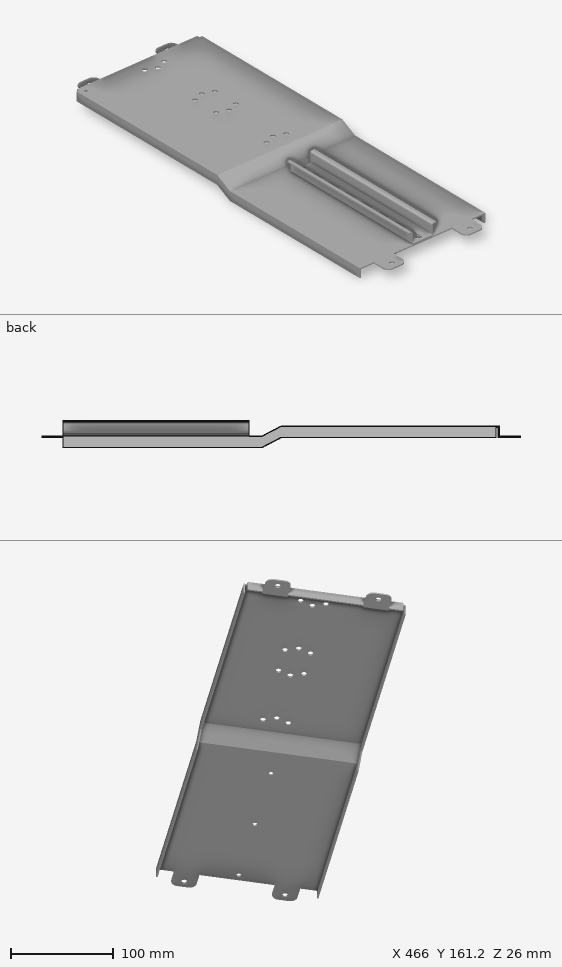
import cadquery as cq

LENGTH = 466.0
WIDTH = 161.2
HEIGHT = 26.0

SHEET = 1.5
RAIL_HEIGHT = 15.0
FLANGE_DEPTH = HEIGHT - RAIL_HEIGHT
DECK_LENGTH = 425.0
STEP_RUN = 18.5
CORNER_NOTCH = 3.3

LOWER_DECK_TOP = FLANGE_DEPTH
STEP_RISE = FLANGE_DEPTH - SHEET
UPPER_DECK_TOP = LOWER_DECK_TOP + STEP_RISE
TAB_BOTTOM = LOWER_DECK_TOP - SHEET

TAB_LENGTH = (LENGTH - DECK_LENGTH) / 2
TAB_WIDTH = 25.0
TAB_SPACING = 100.0
TAB_CORNER = 7.0
TAB_HOLE_INSET = 8.0

HOLE_DIAMETER = 5.5
CORNER_HOLE_DIAMETER = 3.5
CORNER_HOLE_INSET = 8.0

GROUP_SPACING = 106.2
GROUP_CENTER_X = -106.2
GROUP_CENTER_Y = 9.0
OUTER_HOLE_SPAN = 75.0
INNER_HOLE_SPAN = 65.2
HOLE_ROW_PITCH = 12.5

RAIL_LENGTH = 181.5
RAIL_WIDTH = 35.0
RAIL_BASE_WIDTH = 27.0
RAIL_SHEET = 1.5
BEND_INNER = 1.0
BEND_OUTER = BEND_INNER + RAIL_SHEET
RAIL_END_X = DECK_LENGTH / 2
RAIL_START_X = RAIL_END_X - RAIL_LENGTH

SLOT_LENGTH = 16.0
SLOT_WIDTH = 6.5
SLOT_PITCH = 24.5
SLOTS_BEFORE_MIDDLE = 4
SLOTS_AFTER_MIDDLE = 3
MIDDLE_SLOT_X = 127.5
RAIL_HOLE_DIAMETER = 4.5
RAIL_HOLE_PITCH = 77.5


def stepped_outline(start_x):
    """Side outline of the two decks and the slope between them, one flange depth deep."""
    top = [
        (start_x, UPPER_DECK_TOP),
        (0, UPPER_DECK_TOP),
        (STEP_RUN, LOWER_DECK_TOP),
        (DECK_LENGTH / 2, LOWER_DECK_TOP),
    ]
    bottom = [(x, z - FLANGE_DEPTH) for x, z in reversed(top)]
    return cq.Workplane("XZ").polyline(top + bottom).close()


def make_tray():
    """Stepped deck with a flange down each long side and across the -X end."""
    notch_x = CORNER_NOTCH - DECK_LENGTH / 2
    block = stepped_outline(notch_x).extrude(WIDTH / 2, both=True)
    inner_width = WIDTH - 2 * SHEET
    hollow = stepped_outline(notch_x).extrude(inner_width / 2, both=True)
    tray = block.cut(hollow.translate((0, 0, -SHEET)))

    end_width = WIDTH - 2 * CORNER_NOTCH
    end_bend = (
        cq.Workplane("XZ", origin=(-DECK_LENGTH / 2, 0, UPPER_DECK_TOP))
        .polyline([
            (0, 0),
            (CORNER_NOTCH, 0),
            (CORNER_NOTCH, -SHEET),
            (SHEET, -SHEET),
            (SHEET, -STEP_RISE),
            (0, -STEP_RISE),
        ])
        .close()
        .extrude(end_width / 2, both=True)
    )
    return tray.union(end_bend)


def make_tab(side, y):
    """Flat mounting ear with rounded outer corners and one hole; side is -1 or 1 along X.

    Its root reaches one sheet thickness inwards, below the end flange or into the deck.
    """
    length = TAB_LENGTH + SHEET
    tab = (
        cq.Workplane("XY", origin=(side * (LENGTH - length) / 2, y, TAB_BOTTOM))
        .box(length, TAB_WIDTH, SHEET, centered=(True, True, False))
        .edges("|Z")
        .edges(">X" if side > 0 else "<X")
        .fillet(TAB_CORNER)
    )
    return tab.cut(make_drill([(side * (LENGTH / 2 - TAB_HOLE_INSET), y)], HOLE_DIAMETER))


def make_drill(points, diameter):
    """Upright cylinders through the full height at the given points."""
    return cq.Workplane("XY").pushPoints(points).circle(diameter / 2).extrude(HEIGHT)


def group_hole_points():
    """Two mirrored columns per group, each with its middle hole set inwards."""
    points = []
    for group in (-1, 1):
        center_x = GROUP_CENTER_X + group * GROUP_SPACING / 2
        for side in (-1, 1):
            for row in (-1, 0, 1):
                span = INNER_HOLE_SPAN if row == 0 else OUTER_HOLE_SPAN
                points.append((center_x + side * span / 2, GROUP_CENTER_Y + row * HOLE_ROW_PITCH))
    return points


def make_plate():
    """Tray with four mounting tabs and all its round holes."""
    plate = make_tray()
    for side in (-1, 1):
        for row in (-1, 1):
            plate = plate.union(make_tab(side, row * TAB_SPACING / 2))
    corner_hole = (CORNER_HOLE_INSET - DECK_LENGTH / 2, CORNER_HOLE_INSET - WIDTH / 2)
    rail_holes = [(MIDDLE_SLOT_X + i * RAIL_HOLE_PITCH, 0) for i in (-1, 0, 1)]
    plate = plate.cut(make_drill(group_hole_points(), HOLE_DIAMETER))
    plate = plate.cut(make_drill([corner_hole], CORNER_HOLE_DIAMETER))
    return plate.cut(make_drill(rail_holes, RAIL_HOLE_DIAMETER))


def make_rail_section():
    """Hat-shaped bar, open upwards, with a lip turned outwards along each top edge."""
    wall_outer = RAIL_BASE_WIDTH / 2
    wall_inner = wall_outer - RAIL_SHEET
    lip_edge = RAIL_WIDTH / 2
    lip_bottom = RAIL_HEIGHT - RAIL_SHEET
    half_outline = [
        (0, 0),
        (wall_outer, 0),
        (wall_outer, lip_bottom),
        (lip_edge, lip_bottom),
        (lip_edge, RAIL_HEIGHT),
        (wall_inner, RAIL_HEIGHT),
        (wall_inner, RAIL_SHEET),
        (0, RAIL_SHEET),
    ]
    half = (
        cq.Workplane("YZ", origin=(RAIL_START_X, 0, LOWER_DECK_TOP))
        .polyline(half_outline)
        .close()
        .extrude(RAIL_LENGTH)
    )
    bar = half.union(half.mirror("XZ"))
    for side in (-1, 1):
        for offset, z, radius in (
            (wall_outer, 0, BEND_OUTER),
            (wall_inner, RAIL_SHEET, BEND_INNER),
            (wall_outer, lip_bottom, BEND_INNER),
            (wall_inner, RAIL_HEIGHT, BEND_OUTER),
        ):
            corner = (RAIL_START_X + RAIL_LENGTH / 2, side * offset, LOWER_DECK_TOP + z)
            bar = bar.edges(cq.selectors.NearestToPointSelector(corner)).fillet(radius)
    return bar


def make_rail():
    """Hat-shaped bar with a row of slots through its base."""
    slot_centers = [
        (MIDDLE_SLOT_X + i * SLOT_PITCH, 0)
        for i in range(-SLOTS_BEFORE_MIDDLE, SLOTS_AFTER_MIDDLE + 1)
    ]
    slots = (
        cq.Workplane("XY", origin=(0, 0, LOWER_DECK_TOP))
        .pushPoints(slot_centers)
        .slot2D(SLOT_LENGTH, SLOT_WIDTH)
        .extrude(RAIL_HEIGHT)
    )
    return make_rail_section().cut(slots)


plate = make_plate()
rail = make_rail()
result = cq.Compound.makeCompound([plate.val(), rail.val()])